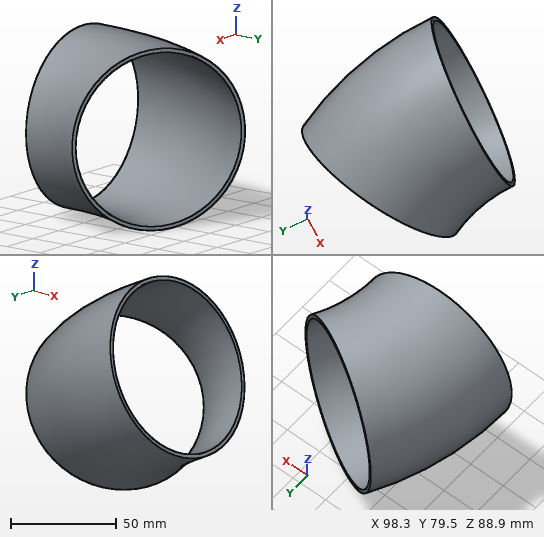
import cadquery as cq
import math

overall_length = 98.3
bend_radius = 114.5
bend_angle = 30.0
wall = 2.0

bend_cosine = math.cos(math.radians(bend_angle))
centreline_shift = bend_radius * (1 - bend_cosine)
outer_radius = (overall_length - centreline_shift) / (1 + bend_cosine)
inner_radius = outer_radius - wall

end_ring = cq.Workplane("XZ").circle(outer_radius).circle(inner_radius)

bend_axis_start = (bend_radius, 0)
bend_axis_end = (bend_radius, -1)

result = end_ring.revolve(bend_angle, bend_axis_start, bend_axis_end)